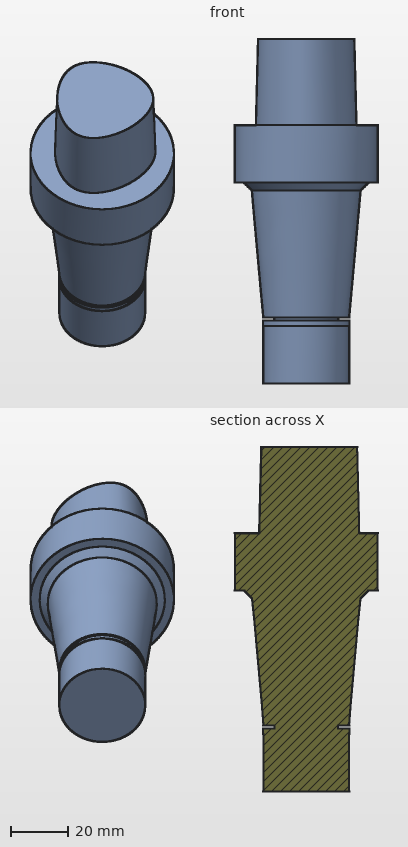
import cadquery as cq
import math

taper_height = 30.0
flange_thickness = 20.0
collar_height = 2.7
groove_top = -67.0
groove_width = 1.0
land_width = 2.0
shank_end = -90.0

flange_bottom = -flange_thickness
collar_bottom = flange_bottom - collar_height
groove_bottom = groove_top - groove_width
land_bottom = groove_bottom - land_width

flange_diameter = 50.0
collar_top_diameter = 43.6
cone_top_diameter = 38.0
land_diameter = 30.3
groove_diameter = 22.4
shank_diameter = 30.0

polygon_diameter = 35.0
polygon_taper = 1 / 20
polygon_tip_diameter = polygon_diameter - taper_height * polygon_taper

lobe_amplitude = 1.4
lobe_correction = lobe_amplitude / 4

curve_points = 72


def polygon_point(mean_diameter, angle):
    """Point on the three-lobed curve whose first lobe points along -Y."""
    radius = mean_diameter / 2
    along_lobe = (
        radius * math.cos(angle)
        + lobe_amplitude * math.cos(2 * angle)
        - lobe_correction * math.cos(4 * angle)
    )
    across_lobe = (
        radius * math.sin(angle)
        - lobe_amplitude * math.sin(2 * angle)
        - lobe_correction * math.sin(4 * angle)
    )
    return cq.Vector(across_lobe, -along_lobe)


def polygon_wire(mean_diameter, height):
    """Closed smooth three-lobed outline at the given height."""
    step = 2 * math.pi / curve_points
    points = [polygon_point(mean_diameter, step * i) for i in range(curve_points)]
    outline = cq.Edge.makeSpline(points, periodic=True)
    return cq.Wire.assembleEdges([outline]).translate(cq.Vector(0, 0, height))


def make_polygon_taper():
    """Three-lobed coupling that narrows upward from the flange."""
    base = polygon_wire(polygon_diameter, 0)
    tip = polygon_wire(polygon_tip_diameter, taper_height)
    return cq.Workplane(cq.Solid.makeLoft([base, tip], True))


def make_turned_body():
    """Flange, collar, cone, groove, land and shank as one revolved profile."""
    profile = [
        (0, 0),
        (flange_diameter / 2, 0),
        (flange_diameter / 2, flange_bottom),
        (collar_top_diameter / 2, flange_bottom),
        (cone_top_diameter / 2, collar_bottom),
        (shank_diameter / 2, groove_top),
        (groove_diameter / 2, groove_top),
        (groove_diameter / 2, groove_bottom),
        (land_diameter / 2, groove_bottom),
        (land_diameter / 2, land_bottom),
        (shank_diameter / 2, land_bottom),
        (shank_diameter / 2, shank_end),
        (0, shank_end),
    ]
    return cq.Workplane("XZ").polyline(profile).close().revolve(360, (0, 0), (0, 1))


result = make_turned_body().union(make_polygon_taper())